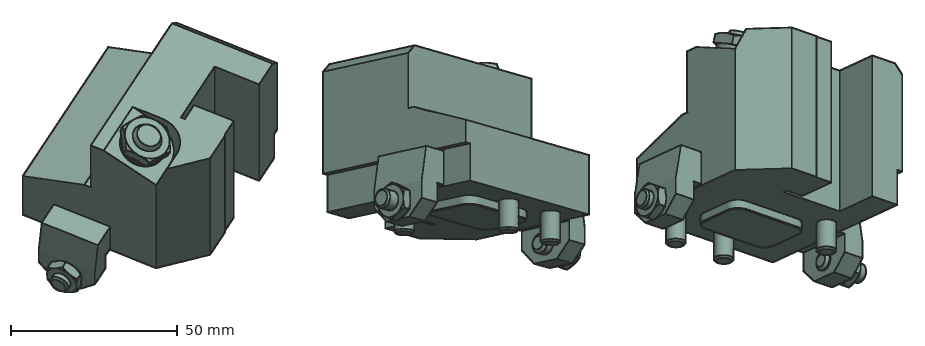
import cadquery as cq
import math


LENGTH_X = 57.0
LENGTH_Y = 55.9
HEIGHT = 46.0
SHOULDER_HEIGHT = 26.0
TOWER_X = 23.0
LANDING = 2.2
SLOPE = math.radians(20)
TOP_CHAMFER = 3.0
CORNER_CHAMFER = 12.0
REAR_STEP_DEPTH = 2.0
REAR_STEP_HEIGHT = 11.5
EXTRA = 17.4

SLOT_X = 42.0
SLOT_START_Y = 21.9
SLOT_END_Y = 44.0
TONGUE_LENGTH = 6.1
TONGUE_GAP = 1.3
TONGUE_SETBACK = 0.3

CENTRE_X = 20.0

SCREW_DIAMETER = 6.0
PIN_SPACING_X = 25.05
PIN_SPACING_Y = 19.0
PIN_LENGTH = 9.4
SCREW_CHAMFER = 0.6
PIN_PLACES = [(-1, -1), (-1, 0), (1, 1)]

KEY_WIDTH = PIN_SPACING_X - SCREW_DIAMETER
KEY_LENGTH = 28.0
KEY_CORNER_RADIUS = 4.0
KEY_DEPTH = 2.9
KEY_CHAMFER = 0.3

CLAMP_Y = 9.0
POCKET_RADIUS = 10.0
POCKET_START_X = 27.3
POCKET_END_X = 45.0
COLLAR_DIAMETER = 13.4
COLLAR_HEIGHT = 2.0
COLLAR_RING_DIAMETER = 14.0
COLLAR_RING_HEIGHT = 0.3
CLAMP_HEX = 14.0
CLAMP_HEX_HEIGHT = 3.2
CLAMP_HEX_TURN = 6
CLAMP_TIP_DIAMETER = 9.1
CLAMP_TIP_HEIGHT = 1.65
CLAMP_TIP_END_DIAMETER = 7.4

BEVEL_ANGLE = math.radians(30)

LUG_WIDTH = 19.0
LUG_TOP = 11.0
LUG_BOTTOM = -10.4
LUG_UNDERSIDE = 0.5
LUG_TOP_REACH = 8.0
LUG_REACH = 10.0
LUG_RELIEF = 3.0
LUG_CORNER = 5.0
SCREW_Z = -5.4
NUT_HEX = 10.0
NUT_HEIGHT = 3.2
LUG_SCREW_LENGTH = 16.0
LUG_SCREW_TIP_CHAMFER = 1.0
FRONT_SCREW_REACH = 15.5
REAR_SCREW_REACH = 17.6


def hex_nut(across_flats, height, bevelled_faces):
    """A nut on Z = 0 with its corners bevelled on the chosen faces."""
    corner_circle = across_flats * 2 / math.sqrt(3)
    bevel_radial = (corner_circle - across_flats) / 2
    bevel_axial = bevel_radial * math.tan(BEVEL_ANGLE)
    blank = cq.Workplane("XY").circle(corner_circle / 2).extrude(height)
    blank = blank.faces(bevelled_faces).chamfer(bevel_axial, bevel_radial)
    return cq.Workplane("XY").polygon(6, corner_circle).extrude(height).intersect(blank)


def block():
    slope_end_x = TOWER_X - LANDING
    side_height = SHOULDER_HEIGHT - slope_end_x * math.tan(SLOPE)
    outline = [
        (0, 0),
        (0, side_height),
        (slope_end_x, SHOULDER_HEIGHT),
        (TOWER_X, SHOULDER_HEIGHT),
        (TOWER_X, HEIGHT),
        (LENGTH_X, HEIGHT),
        (LENGTH_X, 0),
    ]
    solid = cq.Workplane("XZ").polyline(outline).close().extrude(-LENGTH_Y)
    solid = solid.edges("|X and >Y and >Z").chamfer(TOP_CHAMFER)
    solid = solid.edges("|Z and <Y and >X").chamfer(CORNER_CHAMFER)
    step = cq.Workplane("XY").box(LENGTH_X, REAR_STEP_DEPTH, REAR_STEP_HEIGHT, centered=False)
    return solid.cut(step.translate((0, LENGTH_Y - REAR_STEP_DEPTH, 0)))


def tool_slot():
    """Slot with a tongue that rises from its front wall."""
    tongue_end_x = LENGTH_X - TONGUE_SETBACK
    tongue_end_y = SLOT_START_Y + TONGUE_LENGTH
    outline = [
        (SLOT_X, SLOT_START_Y),
        (SLOT_X + TONGUE_GAP, SLOT_START_Y),
        (SLOT_X + TONGUE_GAP, tongue_end_y),
        (tongue_end_x, tongue_end_y),
        (tongue_end_x, SLOT_START_Y),
        (LENGTH_X + EXTRA, SLOT_START_Y),
        (LENGTH_X + EXTRA, SLOT_END_Y),
        (SLOT_X, SLOT_END_Y),
    ]
    return cq.Workplane("XY").polyline(outline).close().extrude(HEIGHT)


def pins():
    points = []
    for column, row in PIN_PLACES:
        point_x = CENTRE_X + column * PIN_SPACING_X / 2
        point_y = LENGTH_Y / 2 + row * PIN_SPACING_Y
        points.append((point_x, point_y))
    shafts = cq.Workplane("XY").pushPoints(points).circle(SCREW_DIAMETER / 2).extrude(-PIN_LENGTH)
    return shafts.faces("<Z").chamfer(SCREW_CHAMFER)


def key():
    solid = cq.Workplane("XY").rect(KEY_WIDTH, KEY_LENGTH).extrude(-KEY_DEPTH)
    solid = solid.edges("|Z").fillet(KEY_CORNER_RADIUS).faces("<Z").chamfer(KEY_CHAMFER)
    return solid.translate((CENTRE_X, LENGTH_Y / 2, 0))


def clamp_plane():
    """Pocket floor with the clamp screw axis as its normal; its local Y is the housing's Y."""
    end_z = HEIGHT - (POCKET_END_X - POCKET_START_X) * math.tan(SLOPE)
    origin = (
        POCKET_END_X - POCKET_RADIUS * math.cos(SLOPE),
        CLAMP_Y,
        end_z + POCKET_RADIUS * math.sin(SLOPE),
    )
    downhill = (math.cos(SLOPE), 0, -math.sin(SLOPE))
    screw_axis = (math.sin(SLOPE), 0, math.cos(SLOPE))
    return cq.Plane(origin, downhill, screw_axis)


def clamp_pocket():
    """Pocket rounded about the screw axis, open to -Y and running out through the top at -X."""
    outline = (
        cq.Workplane(clamp_plane())
        .moveTo(POCKET_RADIUS, -EXTRA)
        .lineTo(POCKET_RADIUS, 0)
        .radiusArc((0, POCKET_RADIUS), -POCKET_RADIUS)
        .lineTo(-EXTRA, POCKET_RADIUS)
        .lineTo(-EXTRA, -EXTRA)
        .close()
    )
    return outline.extrude(EXTRA)


def clamp_screw():
    hex_top = COLLAR_HEIGHT + CLAMP_HEX_HEIGHT
    screw = cq.Workplane("XY").circle(COLLAR_DIAMETER / 2).extrude(COLLAR_HEIGHT)
    ring = cq.Workplane("XY").circle(COLLAR_RING_DIAMETER / 2).extrude(COLLAR_RING_HEIGHT)
    head = hex_nut(CLAMP_HEX, CLAMP_HEX_HEIGHT, ">Z").rotate((0, 0, 0), (0, 0, 1), CLAMP_HEX_TURN)
    tip = (
        cq.Workplane("XY")
        .circle(CLAMP_TIP_DIAMETER / 2)
        .workplane(offset=CLAMP_TIP_HEIGHT)
        .circle(CLAMP_TIP_END_DIAMETER / 2)
        .loft()
    )
    screw = screw.union(ring)
    screw = screw.union(head.translate((0, 0, COLLAR_HEIGHT)))
    screw = screw.union(tip.translate((0, 0, hex_top)))
    return cq.Workplane(screw.val().moved(clamp_plane().location))


def make_housing():
    solid = block().cut(tool_slot()).cut(clamp_pocket())
    return solid.union(key()).union(pins()).union(clamp_screw())


def make_lug(screw_reach):
    """Lug on the plane Y = 0 that reaches towards -Y, with its lock nut and its screw."""
    side = [
        (0, LUG_TOP),
        (-LUG_TOP_REACH, LUG_TOP),
        (-LUG_REACH, 0),
        (-LUG_REACH, LUG_BOTTOM),
        (-LUG_RELIEF, LUG_BOTTOM),
        (-LUG_RELIEF, LUG_UNDERSIDE),
        (0, LUG_UNDERSIDE),
    ]
    arm = cq.Workplane("YZ").polyline(side).close().extrude(LUG_WIDTH / 2, both=True)
    arm = arm.edges("|Y and <Z").chamfer(LUG_CORNER)
    nut = hex_nut(NUT_HEX, NUT_HEIGHT, "<Z or >Z")
    nut = nut.rotate((0, 0, 0), (0, 0, 1), 90)
    nut = nut.rotate((0, 0, 0), (1, 0, 0), 90).translate((0, -LUG_REACH, SCREW_Z))
    screw = cq.Workplane("XZ").circle(SCREW_DIAMETER / 2).extrude(LUG_SCREW_LENGTH)
    screw = screw.faces("<Y").chamfer(SCREW_CHAMFER).faces(">Y").chamfer(LUG_SCREW_TIP_CHAMFER)
    screw = screw.translate((0, LUG_SCREW_LENGTH - screw_reach, SCREW_Z))
    return arm.union(nut).union(screw)


housing = make_housing()
front_lug = make_lug(FRONT_SCREW_REACH).translate((CENTRE_X, 0, 0))
rear_lug = (
    make_lug(REAR_SCREW_REACH)
    .mirror("XZ")
    .translate((CENTRE_X, LENGTH_Y - REAR_STEP_DEPTH, 0))
)

result = cq.Compound.makeCompound([housing.val(), front_lug.val(), rear_lug.val()])